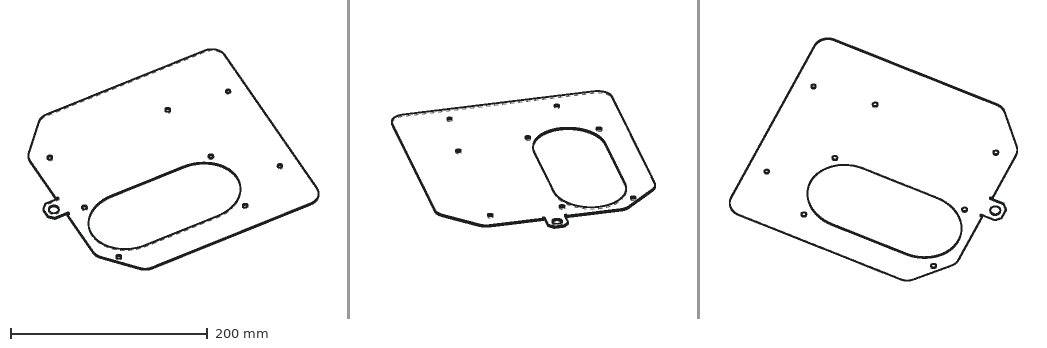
import cadquery as cq

thickness = 2.0
plate_width = 230.0
total_length = 259.0
tab_length = 18.5
plate_length = total_length - tab_length
corner_radius = 15.0
bevel_width = 41.0
bevel_height = 36.5

tab_width = 21.0
tab_chamfer = 5.2
tab_hole_diameter = 10.4
tab_hole_y = -8.8
notch_width = 1.8
notch_depth = 2.3

opening_width = 74.3
opening_length = 165.7
opening_end_height = 41.5
opening_x = 48.5
opening_y = 92.7

upper_hole_diameter = 4.7
upper_hole_spacing = 112.0
upper_hole_y = 221.0
mount_hole_diameter = 5.2
mount_left_x = -63.0
mount_left_top_y = 155.3
mount_inner_x = 12.2
mount_outer_x = 86.5
mount_bottom_y = 20.0
mount_top_y = 165.2


def make_plate():
    """Rounded plate with its two lower corners bevelled."""
    half_width = plate_width / 2
    bottom_half = half_width - bevel_width
    outline = [
        (-bottom_half, 0),
        (bottom_half, 0),
        (half_width, bevel_height),
        (half_width, plate_length),
        (-half_width, plate_length),
        (-half_width, bevel_height),
    ]
    plate = cq.Workplane("XY").polyline(outline).close().extrude(thickness)
    return plate.edges("|Z").fillet(corner_radius)


def make_tab():
    """Chamfered tab that reaches into the plate as far as the notches."""
    height = tab_length + notch_depth
    tab = (
        cq.Workplane("XY")
        .center(0, notch_depth - height / 2)
        .rect(tab_width, height)
        .extrude(thickness)
    )
    return tab.edges("|Z and <Y").chamfer(tab_chamfer)


def make_notches():
    """Relief notches in the lower edge, one on each side of the tab."""
    offset = (tab_width + notch_width) / 2
    return (
        cq.Workplane("XY")
        .pushPoints([(-offset, notch_depth / 2), (offset, notch_depth / 2)])
        .rect(notch_width, notch_depth)
        .extrude(thickness)
    )


def make_opening():
    """Cutter for the opening, drawn counterclockwise from its lower right tangent point."""
    radius = opening_width / 2
    straight = opening_length - 2 * opening_end_height
    return (
        cq.Workplane("XY")
        .center(opening_x, opening_y)
        .moveTo(radius, -straight / 2)
        .lineTo(radius, straight / 2)
        .ellipseArc(radius, opening_end_height, 0, 180, startAtCurrent=True)
        .lineTo(-radius, -straight / 2)
        .ellipseArc(radius, opening_end_height, 180, 360, startAtCurrent=True)
        .close()
        .extrude(thickness)
    )


def make_holes(points, diameter):
    """Cutters for equal through holes."""
    return cq.Workplane("XY").pushPoints(points).circle(diameter / 2).extrude(thickness)


upper_points = [(side * upper_hole_spacing / 2, upper_hole_y) for side in (-1, 1)]
mount_points = [
    (mount_left_x, mount_left_top_y),
    (mount_left_x, mount_bottom_y),
    (mount_inner_x, mount_top_y),
    (mount_inner_x, mount_bottom_y),
    (mount_outer_x, mount_top_y),
    (mount_outer_x, mount_bottom_y),
]

result = (
    make_plate()
    .cut(make_notches())
    .union(make_tab())
    .cut(make_opening())
    .cut(make_holes(upper_points, upper_hole_diameter))
    .cut(make_holes(mount_points, mount_hole_diameter))
    .cut(make_holes([(0, tab_hole_y)], tab_hole_diameter))
)